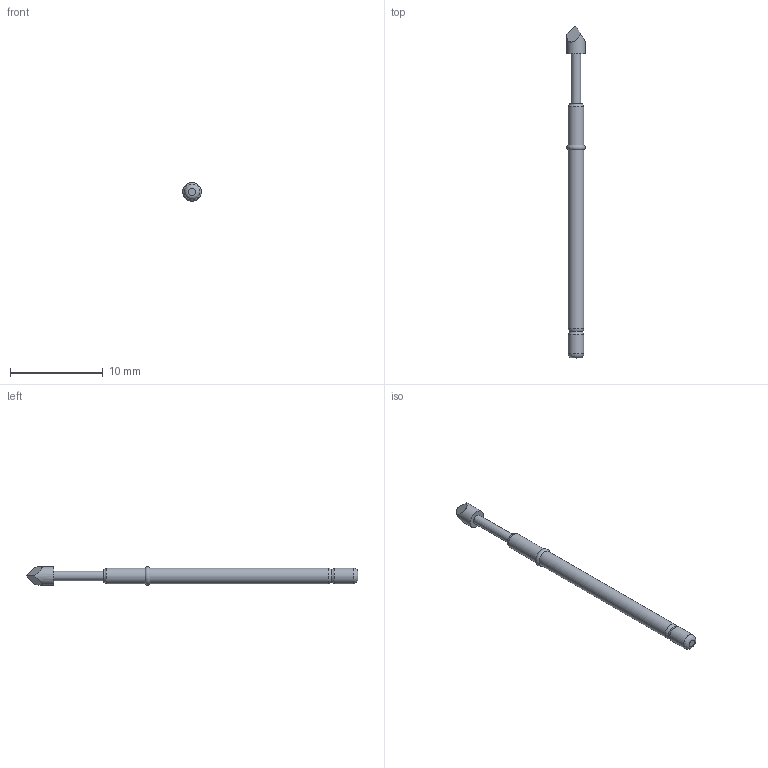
import cadquery as cq
import math

total_length = 35.7

head_radius = 1.0
head_length = 3.0
face_count = 3
face_slope_deg = 60.0
head_base_y = total_length - head_length

stem_radius = 0.5

barrel_radius = 0.85
barrel_length = 27.35
mouth_flare_length = 0.3
mouth_radius = 0.72
tail_fillet = 0.45

ring_radius = head_radius
ring_width = 0.5
ring_center_y = 22.64

groove_tail_y = 2.53
groove_hollow_width = 0.32
groove_lip_width = 0.36
groove_depth = 0.11


def tangent_arc_radius(length, rise):
    """Radius of an arc that starts parallel to the axis and moves off it by rise over length."""
    return (length**2 + rise**2) / (2 * rise)


def revolve_about_axis(outline):
    """Turn a closed outline in the XY plane a full circle about the Y axis."""
    return outline.revolve(360, (0, 0, 0), (0, 1, 0))


def make_barrel():
    """Barrel with a rounded tail and a hollow flare running into the mouth."""
    mouth_arc_radius = tangent_arc_radius(mouth_flare_length, barrel_radius - mouth_radius)
    outline = (
        cq.Workplane("XY")
        .lineTo(barrel_radius - tail_fillet, 0)
        .radiusArc((barrel_radius, tail_fillet), -tail_fillet)
        .lineTo(barrel_radius, barrel_length - mouth_flare_length)
        .radiusArc((mouth_radius, barrel_length), mouth_arc_radius)
        .lineTo(0, barrel_length)
        .close()
    )
    return revolve_about_axis(outline)


def make_groove():
    """Crimp groove; both arcs run parallel to the axis at their mouth-side ends."""
    floor_y = groove_tail_y + groove_hollow_width
    mouth_side_y = floor_y + groove_lip_width
    floor_radius = barrel_radius - groove_depth
    hollow_radius = tangent_arc_radius(groove_hollow_width, groove_depth)
    lip_radius = tangent_arc_radius(groove_lip_width, groove_depth)
    groove = (
        cq.Workplane("XY")
        .moveTo(barrel_radius, groove_tail_y)
        .radiusArc((floor_radius, floor_y), hollow_radius)
        .radiusArc((barrel_radius, mouth_side_y), -lip_radius)
        .close()
    )
    return revolve_about_axis(groove)


def make_press_ring():
    """Ring with a rounded crown standing proud of the barrel."""
    half_width = ring_width / 2
    outline = (
        cq.Workplane("XY")
        .moveTo(0, ring_center_y - half_width)
        .lineTo(barrel_radius, ring_center_y - half_width)
        .threePointArc((ring_radius, ring_center_y), (barrel_radius, ring_center_y + half_width))
        .lineTo(0, ring_center_y + half_width)
        .close()
    )
    return revolve_about_axis(outline)


def make_rod(radius, start_y, end_y):
    """Solid cylinder on the Y axis."""
    return cq.Workplane("XZ", origin=(0, end_y, 0)).circle(radius).extrude(end_y - start_y)


def make_head():
    """Cylinder sharpened by flat faces spaced evenly around the axis, one facing +X."""
    head = make_rod(head_radius, head_base_y, total_length)
    reach = 2 * head_radius
    slope = math.tan(math.radians(face_slope_deg))
    wedge = (
        cq.Workplane("XY", origin=(0, 0, -reach))
        .moveTo(-reach, total_length + reach * slope)
        .lineTo(reach, total_length - reach * slope)
        .lineTo(reach, total_length + reach * slope)
        .close()
        .extrude(2 * reach)
    )
    for index in range(face_count):
        head = head.cut(wedge.rotate((0, 0, 0), (0, 1, 0), index * 360 / face_count))
    return head


stem = make_rod(stem_radius, barrel_length, head_base_y)
barrel = make_barrel().cut(make_groove())
result = barrel.union(make_press_ring()).union(stem).union(make_head())